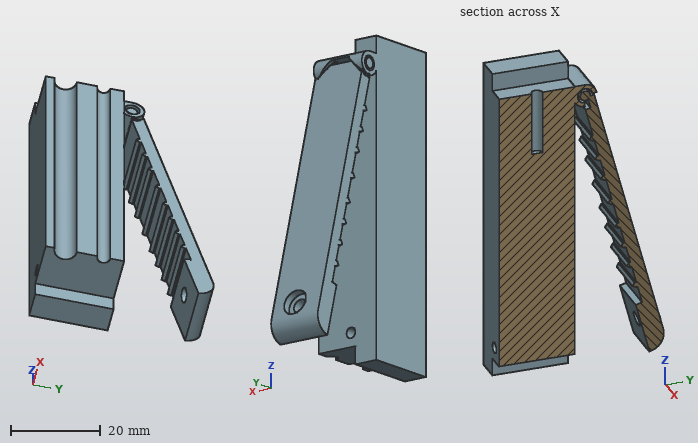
import cadquery as cq
import math

block_x = 16.3
block_y = 18.0
block_z = 75.3
flange_x = 5.95
end_step = 4.2

small_groove_d = 3.0
small_groove_y = 13.3
large_groove_d = 5.1
large_groove_y = 4.6

hole_d = 2.5
blind_hole_x = 10.25
blind_hole_y = 9.0
blind_hole_depth = 15.05
lock_x = 7.2
lock_z = 7.5
counterbore_d = 6.0

pivot_y = 20.5
pivot_z = 68.35
barrel_r = 2.8
barrel_x = 13.7
bore_d = 3.4
pin_d = 2.5

slot_top = bore_d / 2
slot_half_top = 2.3
slot_half_bottom = slot_half_top + slot_top + barrel_r

open_angle = 15
lever_x = 13.25
outer_face = 2.1
plate_thickness = 3.0
inner_face = outer_face - plate_thickness
pad_face = block_y - pivot_y
pad_start = 55.5
lever_end = 68.2
nose_r = 4.1
barrel_clearance = 0.6
lever_hole_d = 3.4
counterbore_depth = 1.9
lever_hole_drop = pivot_z - lock_z

ridge_width = 1.35
ridge_wall = 0.4
ridge_height = ridge_wall + ridge_width / 2
ridge_pitch = 5.35
first_group = 11.0
first_group_count = 3
single_ridge = 28.2
second_group = 34.6
second_group_count = 4
ridge_drops = [first_group + i * ridge_pitch for i in range(first_group_count)]
ridge_drops += [single_ridge]
ridge_drops += [second_group + i * ridge_pitch for i in range(second_group_count)]

arm_top = 0.15
arm_bottom = -3.5
arm_half_bottom = lever_x / 2
arm_half_top = arm_half_bottom - (arm_top - arm_bottom)
arm_inner_face = 0.4


def x_cylinder(diameter, length):
    """Cylinder along +X, centred on the pivot axis at the origin."""
    return cq.Workplane("YZ").circle(diameter / 2).extrude(length)


def vertical_groove(diameter, y):
    return cq.Workplane("XY").center(block_x, y).circle(diameter / 2).extrude(block_z)


def tapered_prism(half_top, half_bottom, top, bottom, y_start, y_end):
    """Trapezoid in XZ, centred on the lever width and extruded along +Y."""
    middle = lever_x / 2
    return (
        cq.Workplane("XZ", origin=(0, y_start, 0))
        .moveTo(middle - half_top, top)
        .lineTo(middle + half_top, top)
        .lineTo(middle + half_bottom, bottom)
        .lineTo(middle - half_bottom, bottom)
        .close()
        .extrude(y_start - y_end)
    )


def make_barrel():
    """Hinge barrel with a flat-topped web reaching the block face."""
    web_y = block_y - pivot_y
    web = cq.Workplane("XY").box(barrel_x, -web_y, barrel_r, centered=False).translate((0, web_y, 0))
    slot = tapered_prism(slot_half_top, slot_half_bottom, slot_top, -barrel_r, 0, barrel_r)
    block_side = cq.Workplane("XY").box(barrel_x, barrel_r, 2 * barrel_r, centered=False)
    block_side = block_side.translate((0, web_y - barrel_r, -barrel_r))
    barrel = x_cylinder(2 * barrel_r, barrel_x).cut(block_side).union(web)
    barrel = barrel.cut(x_cylinder(bore_d, barrel_x)).cut(slot)
    return barrel.translate((0, pivot_y, pivot_z))


def make_housing():
    flange = cq.Workplane("XY").box(flange_x, block_y, block_z, centered=False)
    body = cq.Workplane("XY").box(block_x, block_y, block_z - 2 * end_step, centered=False)
    housing = flange.union(body.translate((0, 0, end_step)))
    housing = housing.cut(vertical_groove(small_groove_d, small_groove_y))
    housing = housing.cut(vertical_groove(large_groove_d, large_groove_y))

    blind_hole = (
        cq.Workplane("XY", origin=(blind_hole_x, blind_hole_y, block_z - end_step))
        .circle(hole_d / 2)
        .extrude(-blind_hole_depth)
    )
    lock_hole = cq.Workplane("XZ", origin=(lock_x, 0, lock_z)).circle(hole_d / 2).extrude(-block_y)
    return housing.cut(blind_hole).cut(lock_hole).union(make_barrel())


def make_ridge(drop):
    """Ridge with short straight walls and a 45-degree pointed crest."""
    top = -drop + ridge_width / 2
    bottom = -drop - ridge_width / 2
    return (
        cq.Workplane("YZ")
        .moveTo(inner_face, top)
        .lineTo(inner_face - ridge_wall, top)
        .lineTo(inner_face - ridge_height, -drop)
        .lineTo(inner_face - ridge_wall, bottom)
        .lineTo(inner_face, bottom)
        .close()
        .extrude(lever_x)
    )


def make_lever_plate():
    """Plate with a thicker end pad, a rounded nose and a hollow end facing the barrel."""
    nose_start = lever_end - nose_r
    nose_centre = outer_face - nose_r
    diagonal = nose_r * math.sqrt(0.5)
    plate = (
        cq.Workplane("YZ")
        .moveTo(outer_face, 0)
        .lineTo(outer_face, -nose_start)
        .threePointArc((nose_centre + diagonal, -nose_start - diagonal), (nose_centre, -lever_end))
        .lineTo(pad_face, -lever_end)
        .lineTo(pad_face, -pad_start)
        .lineTo(inner_face, -pad_start)
        .lineTo(inner_face, 0)
        .close()
        .extrude(lever_x)
    )
    return plate.cut(x_cylinder(2 * (barrel_r + barrel_clearance), lever_x))


def make_lever():
    lever = make_lever_plate()
    for drop in ridge_drops:
        lever = lever.union(make_ridge(drop))
    arm = tapered_prism(arm_half_top, arm_half_bottom, arm_top, arm_bottom, arm_inner_face, outer_face)
    lever = lever.union(arm).union(x_cylinder(pin_d, lever_x))
    lever = (
        lever.copyWorkplane(cq.Workplane("XZ", origin=(lock_x, outer_face, -lever_hole_drop)))
        .transformed(rotate=(180, 0, 0))
        .cboreHole(lever_hole_d, counterbore_d, counterbore_depth)
    )
    return lever.rotate((0, 0, 0), (1, 0, 0), open_angle).translate((0, pivot_y, pivot_z))


housing = make_housing()
lever = make_lever()

result = cq.Compound.makeCompound([*housing.solids().vals(), *lever.solids().vals()])